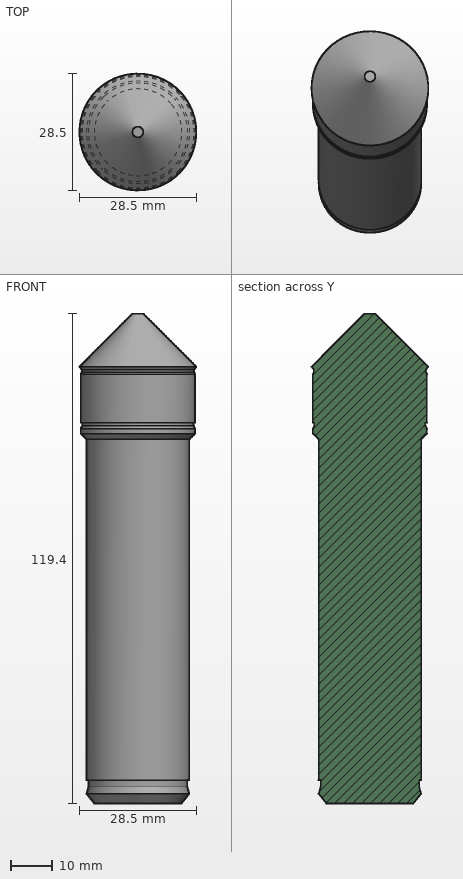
import cadquery as cq

total_length = 119.4
lip_radius = 14.27

tip_flat_radius = 1.3
cone_base_z = total_length - (lip_radius - tip_flat_radius)

head_radius = 14.0
neck_radius = 13.7
lip_bottom_z = cone_base_z - 0.7
neck_bottom_z = lip_bottom_z - 0.6
neck_chamfer_height = 0.5
head_bottom_z = 92.8

collar_groove_radius = 13.6
collar_groove_flat = 0.7
collar_groove_slope = 0.7
collar_height = 1.2
collar_top_z = head_bottom_z - collar_groove_flat - collar_groove_slope
collar_bottom_z = collar_top_z - collar_height

shaft_radius = 12.5
shaft_top_z = collar_bottom_z - (head_radius - shaft_radius)

foot_groove_radius = 12.1
foot_groove_top_z = 5.7
foot_groove_flat = 1.5
foot_taper_height = 2.4
foot_end_radius = 10.6

half_section = [
    (0, 0),
    (foot_end_radius, 0),
    (shaft_radius, foot_taper_height),
    (foot_groove_radius, foot_groove_top_z - foot_groove_flat),
    (foot_groove_radius, foot_groove_top_z),
    (shaft_radius, foot_groove_top_z),
    (shaft_radius, shaft_top_z),
    (head_radius, collar_bottom_z),
    (head_radius, collar_top_z),
    (collar_groove_radius, head_bottom_z - collar_groove_flat),
    (collar_groove_radius, head_bottom_z),
    (head_radius, head_bottom_z),
    (head_radius, neck_bottom_z - neck_chamfer_height),
    (neck_radius, neck_bottom_z),
    (neck_radius, lip_bottom_z),
    (lip_radius, cone_base_z),
    (tip_flat_radius, total_length),
    (0, total_length),
]

result = (
    cq.Workplane("XZ")
    .polyline(half_section)
    .close()
    .revolve(360, (0, 0, 0), (0, 1, 0))
)